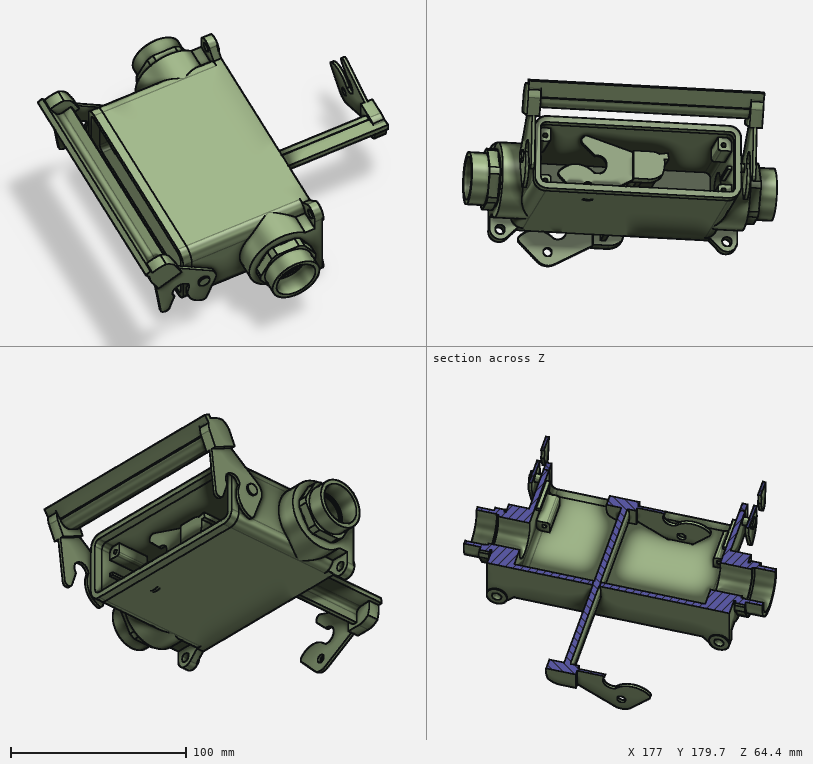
import cadquery as cq
import math


HALF_WIDTH = 59.8
HALF_HEIGHT = 21.5
CORNER_RADIUS = 7.0
DEPTH = 83.0
FRAME_DEPTH = 5.4
SIDE_WALL = 3.5
FLOOR_WALL = 3.6
BACK_WALL = 3.6
CAVITY_HALF_WIDTH = HALF_WIDTH - SIDE_WALL
CAVITY_HALF_HEIGHT = HALF_HEIGHT - FLOOR_WALL
CAVITY_RADIUS = CORNER_RADIUS - FLOOR_WALL

POST_START = 11.5
POST_LENGTH = 21.5
POST_SIZE = 7.9
POST_EDGE_RADIUS = 1.8
WALL_OVERLAP = 0.9
SCREW_HOLE_DIAMETER = 2.5
SCREW_X = 51.7
SCREW_Z = 13.5
RIB_HEIGHT = 2.3
RIB_WIDTH = 1.8

ENTRY_HALF_WIDTH = 71.9
LUG_PLATE_THICKNESS = 4.9
LUG_PAD_HEIGHT = 0.7
LUG_DIAMETER = 12.0
LUG_RADIUS = LUG_DIAMETER / 2
LUG_HOLE_DIAMETER = 5.5
LUG_X = ENTRY_HALF_WIDTH - LUG_RADIUS
LUG_Z = 23.0

ENTRY_Y = 57.7
ENTRY_BASE_HALF_HEIGHT = 16.2
NECK_DIAMETER = 31.0
NECK_LENGTH = 0.9
NUT_ACROSS_FLATS = 32.3
NUT_ACROSS_CORNERS = NUT_ACROSS_FLATS * 2 / math.sqrt(3)
NUT_CORNER_DIAMETER = 35.2
NUT_LENGTH = 6.0
SLEEVE_DIAMETER = 30.0
OVERALL_WIDTH = 177.0
SLEEVE_END = OVERALL_WIDTH / 2
MOUTH_DIAMETER = 24.8
MOUTH_DEPTH = 12.0
SEAT_DIAMETER = 24.3
SEAT_DEPTH = 13.3
ENTRY_BORE_DIAMETER = 21.7

LEVER_LENGTH = 136.5
GRIP_END_LENGTH = 7.4
ARM_INSET = 3.0
ARM_THICKNESS = 2.0
PIVOT_HOLE_DIAMETER = 5.0
PIVOT_END_RADIUS = 8.0
NOTCH_RADIUS = 5.4
NOTCH_CENTRE = (5.5, 13.3)
GRIP_START = 26.0
GRIP_LOW = 5.2
GRIP_HIGH = 21.7

FRONT_PIVOT_Y = 10.2
FRONT_LEVER_ANGLE = 65.4
REAR_PIVOT_X = -25.9
REAR_PIVOT_Z = -13.5
REAR_LEVER_MIDDLE_Y = 83.0

PIN_DIAMETER = 4.9
PIN_HEAD_DIAMETER = 7.0
PIN_HEAD_THICKNESS = 1.0


def along_y(y):
    """Workplane at the given Y with local axes -X and +Z, which extrudes toward +Y."""
    return cq.Workplane(cq.Plane((0, y, 0), xDir=(-1, 0, 0), normal=(0, 1, 0)))


def along_x(side, x, y=0.0):
    """Workplane at X = side * x, centred on the given Y, which extrudes outward on that side."""
    return cq.Workplane(cq.Plane((side * x, y, 0), xDir=(0, side, 0), normal=(side, 0, 0)))


def rounded_bar(y_start, length, half_width, half_height, radius):
    block = along_y(y_start).rect(2 * half_width, 2 * half_height).extrude(length)
    return block.edges("|Y").fillet(radius)



def make_front_frame():
    outside = rounded_bar(0, FRAME_DEPTH, HALF_WIDTH, HALF_HEIGHT, CORNER_RADIUS)
    opening = rounded_bar(0, FRAME_DEPTH, CAVITY_HALF_WIDTH, CAVITY_HALF_HEIGHT, CAVITY_RADIUS)
    return outside.cut(opening)



def mounting_plate():
    """Flat plate across the back whose four corners carry round lugs with raised pads."""
    start = DEPTH - LUG_PLATE_THICKNESS
    plate = along_y(start).rect(2 * HALF_WIDTH, 2 * HALF_HEIGHT).extrude(LUG_PLATE_THICKNESS)
    tangent = LUG_RADIUS * math.sqrt(0.5)
    slope_foot_x = LUG_X - 2 * tangent - (LUG_Z - HALF_HEIGHT)
    for side in (-1, 1):
        for level in (-1, 1):
            web = (
                along_y(start)
                .moveTo(side * ENTRY_HALF_WIDTH, 0)
                .lineTo(side * ENTRY_HALF_WIDTH, level * LUG_Z)
                .lineTo(side * LUG_X, level * LUG_Z)
                .lineTo(side * (LUG_X - tangent), level * (LUG_Z + tangent))
                .lineTo(side * slope_foot_x, level * HALF_HEIGHT)
                .lineTo(side * slope_foot_x, 0)
                .close()
                .extrude(LUG_PLATE_THICKNESS)
            )
            lug_place = along_y(start).center(side * LUG_X, level * LUG_Z)
            lug = lug_place.circle(LUG_RADIUS).extrude(LUG_PLATE_THICKNESS + LUG_PAD_HEIGHT)
            plate = plate.union(web).union(lug)
    return plate


def lug_holes():
    corners = [(x * LUG_X, z * LUG_Z) for x in (-1, 1) for z in (-1, 1)]
    place = along_y(DEPTH - LUG_PLATE_THICKNESS).pushPoints(corners)
    return place.circle(LUG_HOLE_DIAMETER / 2).extrude(LUG_PLATE_THICKNESS + LUG_PAD_HEIGHT)


def entry_boss(side):
    """Round boss on the side wall, with a straight base that joins the mounting plate."""
    root = HALF_WIDTH - CORNER_RADIUS
    length = ENTRY_HALF_WIDTH - root
    boss = along_x(side, root, ENTRY_Y).circle(HALF_HEIGHT).extrude(length)
    base_depth = DEPTH - ENTRY_Y
    base_middle = ENTRY_Y + base_depth / 2
    base = along_x(side, root, base_middle).rect(base_depth, 2 * ENTRY_BASE_HALF_HEIGHT).extrude(length)
    return boss.union(base)


def cable_gland(side):
    """Neck, hexagon nut and sleeve outside the boss."""
    nut_start = ENTRY_HALF_WIDTH + NECK_LENGTH
    sleeve_start = nut_start + NUT_LENGTH
    neck = along_x(side, ENTRY_HALF_WIDTH, ENTRY_Y).circle(NECK_DIAMETER / 2).extrude(NECK_LENGTH)
    hexagon = along_x(side, nut_start, ENTRY_Y).polygon(6, NUT_ACROSS_CORNERS)
    nut = hexagon.extrude(NUT_LENGTH)
    turned = along_x(side, nut_start, ENTRY_Y).circle(NUT_CORNER_DIAMETER / 2).extrude(NUT_LENGTH)
    sleeve = along_x(side, sleeve_start, ENTRY_Y).circle(SLEEVE_DIAMETER / 2)
    sleeve = sleeve.extrude(SLEEVE_END - sleeve_start)
    return neck.union(nut.intersect(turned)).union(sleeve)


def entry_bore(side):
    """Bore from the hood cavity through the sleeve, widened in two steps toward the mouth."""
    bore = along_x(side, 0, ENTRY_Y).circle(ENTRY_BORE_DIAMETER / 2).extrude(SLEEVE_END)
    for diameter, depth in ((SEAT_DIAMETER, SEAT_DEPTH), (MOUTH_DIAMETER, MOUTH_DEPTH)):
        step = along_x(side, SLEEVE_END - depth, ENTRY_Y).circle(diameter / 2).extrude(depth)
        bore = bore.union(step)
    return bore


def screw_post(side, level):
    """Post in a cavity corner with a screw hole; it reaches slightly into the walls it joins."""
    size = POST_SIZE + WALL_OVERLAP
    x_middle = side * (CAVITY_HALF_WIDTH + WALL_OVERLAP - size / 2)
    z_middle = level * (CAVITY_HALF_HEIGHT + WALL_OVERLAP - size / 2)
    post = cq.Workplane("XY").box(size, POST_LENGTH, size)
    inner_face = "<X" if side > 0 else ">X"
    inner_edge = "<Z" if level > 0 else ">Z"
    post = post.faces(inner_face).edges(inner_edge).fillet(POST_EDGE_RADIUS)
    post = post.translate((x_middle, POST_START + POST_LENGTH / 2, z_middle))
    hole = along_y(POST_START).center(-side * SCREW_X, level * SCREW_Z)
    return post.cut(hole.circle(SCREW_HOLE_DIAMETER / 2).extrude(POST_LENGTH))


def guide_rib(side):
    start = CAVITY_HALF_WIDTH - RIB_HEIGHT
    rib_y = POST_START + POST_LENGTH / 2
    return along_x(side, start, rib_y).rect(POST_LENGTH, RIB_WIDTH).extrude(RIB_HEIGHT + WALL_OVERLAP)


def pivot_pin(side):
    """Pin that carries the front lever, with a flat head outside the lever arm."""
    head_start = LEVER_LENGTH / 2 - ARM_INSET
    shank_start = HALF_WIDTH - WALL_OVERLAP
    shank = along_x(side, shank_start, FRONT_PIVOT_Y).circle(PIN_DIAMETER / 2)
    shank = shank.extrude(head_start - shank_start)
    head = along_x(side, head_start, FRONT_PIVOT_Y).circle(PIN_HEAD_DIAMETER / 2)
    return shank.union(head.extrude(PIN_HEAD_THICKNESS))


def make_housing(rear_lever):
    body_length = DEPTH - FRAME_DEPTH
    housing = rounded_bar(FRAME_DEPTH, body_length, HALF_WIDTH, HALF_HEIGHT, CORNER_RADIUS)
    housing = housing.union(mounting_plate())
    for side in (-1, 1):
        housing = housing.union(entry_boss(side)).union(cable_gland(side))
    cavity_length = body_length - BACK_WALL
    housing = housing.cut(
        rounded_bar(FRAME_DEPTH, cavity_length, CAVITY_HALF_WIDTH, CAVITY_HALF_HEIGHT, CAVITY_RADIUS)
    )
    housing = housing.cut(lug_holes())
    for side in (-1, 1):
        housing = housing.cut(entry_bore(side)).union(guide_rib(side)).union(pivot_pin(side))
        for level in (-1, 1):
            housing = housing.union(screw_post(side, level))
    return housing.cut(rear_lever)



def lever_point(radius, degrees, centre=(0.0, 0.0)):
    angle = math.radians(degrees)
    return (centre[0] + radius * math.cos(angle), centre[1] + radius * math.sin(angle))


def arm_outline(plane):
    """Forked sheet arm: pivot end, rounded cam, locking notch and prong."""
    return (
        plane.moveTo(GRIP_START, GRIP_LOW)
        .lineTo(*lever_point(PIVOT_END_RADIUS, -60))
        .threePointArc(lever_point(PIVOT_END_RADIUS, -97), lever_point(PIVOT_END_RADIUS, -134))
        .lineTo(-16.3, 5.2)
        .threePointArc((-17.0, 6.8), (-16.5, 8.5))
        .threePointArc((-7.2, 12.8), (1.0, 10.5))
        .lineTo(*lever_point(NOTCH_RADIUS, -110, NOTCH_CENTRE))
        .threePointArc(
            lever_point(NOTCH_RADIUS, 0, NOTCH_CENTRE), lever_point(NOTCH_RADIUS, 105, NOTCH_CENTRE)
        )
        .lineTo(-3.0, 25.3)
        .threePointArc((-3.5, 28.5), (-0.5, 30.2))
        .lineTo(GRIP_START, GRIP_HIGH)
        .close()
    )


def grip_end_outline(plane):
    """Thick end piece between the arm and the grip rail."""
    return (
        plane.moveTo(GRIP_START, GRIP_LOW)
        .lineTo(35.0, GRIP_LOW)
        .tangentArcPoint((42.8, 8.5), relative=False)
        .threePointArc((43.7, 11.7), (43.8, 17.5))
        .lineTo(43.8, 20.7)
        .lineTo(41.0, 20.7)
        .threePointArc((39.0, 21.4), (36.7, GRIP_HIGH))
        .lineTo(GRIP_START, GRIP_HIGH)
        .close()
    )


def rail_outline(plane):
    """Bent rail: a short wall, a quarter bend and a flange with a slanted rim."""
    bend_radius = 6.1
    inner_radius = 3.8
    wall_outside = 30.2
    wall_inside = 33.0
    bend_start = 13.3
    diagonal = math.sqrt(0.5)
    inner_centre = wall_inside + inner_radius
    outer_centre = wall_outside + bend_radius
    return (
        plane.moveTo(wall_outside, 7.9)
        .lineTo(wall_inside, 7.9)
        .lineTo(wall_inside, bend_start)
        .threePointArc(
            (inner_centre - inner_radius * diagonal, bend_start + inner_radius * diagonal),
            (inner_centre, bend_start + inner_radius),
        )
        .lineTo(46.4, 17.8)
        .lineTo(46.0, 21.4)
        .lineTo(36.8, 19.8)
        .lineTo(outer_centre, bend_start + bend_radius)
        .threePointArc(
            (outer_centre - bend_radius * diagonal, bend_start + bend_radius * diagonal),
            (wall_outside, bend_start),
        )
        .close()
    )


def make_lever(plane):
    """Lever around its pivot axis (the plane's normal), centred on the plane's origin."""
    def at(offset):
        return cq.Workplane(plane).workplane(offset=offset)

    half = LEVER_LENGTH / 2
    lever = rail_outline(at(-half)).extrude(LEVER_LENGTH)
    for grip_start in (-half, half - GRIP_END_LENGTH):
        lever = lever.union(grip_end_outline(at(grip_start)).extrude(GRIP_END_LENGTH))
    for arm_start in (ARM_INSET - half, half - ARM_INSET - ARM_THICKNESS):
        arm = arm_outline(at(arm_start)).extrude(ARM_THICKNESS)
        hole = at(arm_start).circle(PIVOT_HOLE_DIAMETER / 2).extrude(ARM_THICKNESS)
        lever = lever.union(arm.cut(hole))
    return lever


swing = math.radians(FRONT_LEVER_ANGLE)
front_lever_plane = cq.Plane(
    (0, FRONT_PIVOT_Y, 0), xDir=(0, -math.cos(swing), math.sin(swing)), normal=(1, 0, 0)
)
rear_lever_plane = cq.Plane(
    (REAR_PIVOT_X, REAR_LEVER_MIDDLE_Y, REAR_PIVOT_Z), xDir=(1, 0, 0), normal=(0, -1, 0)
)

levers = [make_lever(plane) for plane in (front_lever_plane, rear_lever_plane)]
front_frame = make_front_frame()
housing = make_housing(rear_lever=levers[1])

result = cq.Compound.makeCompound(
    [housing.val(), front_frame.val(), *[lever.val() for lever in levers]]
)